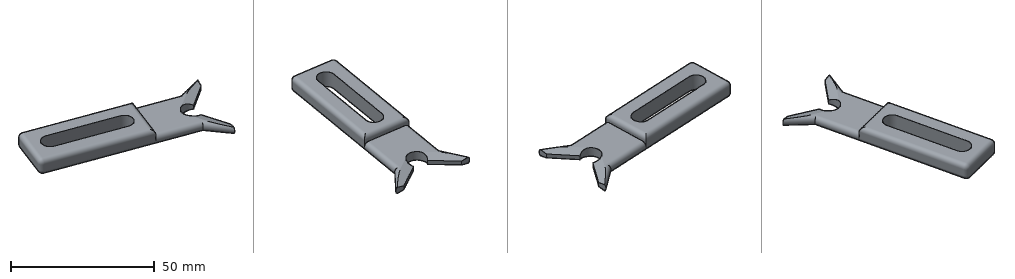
import cadquery as cq
import math

length = 71.75
bar_width = 19.2
plate_thickness = 3.7
block_height = 6.4
block_length = 44.4
edge_radius = 1.8

jaw_width = 31.8
flare_start = 62.4
relief_radius = 3.8
relief_y = 62.3
vee_angle = math.radians(37.3)
bevel_width = 3.5
bevel_depth = 1.0

slot_width = 6.75
slot_start = 4.95
slot_end = 40.1

half_bar = bar_width / 2
half_jaw = jaw_width / 2


def make_plate():
    """Thin plate whose sides flare outward, with rounded outer edges."""
    plate = (
        cq.Workplane("XY")
        .polyline([
            (-half_bar, 0),
            (half_bar, 0),
            (half_bar, flare_start),
            (half_jaw, length),
            (-half_jaw, length),
            (-half_bar, flare_start),
        ])
        .close()
        .extrude(plate_thickness)
    )
    plate = plate.edges("|Z and <Y").fillet(edge_radius)
    rim = plate.faces("<Z or >Z").edges("not >Y")
    return rim.fillet(edge_radius)


def make_block():
    """Thick clamping block, rounded everywhere except around the lower step face."""
    block = cq.Workplane("XY").box(bar_width, block_length, block_height, centered=(True, False, False))
    block = block.edges("|Z and <Y").fillet(edge_radius)
    top_rim = block.faces(">Z").edges()
    block = top_rim.fillet(edge_radius)
    bottom_rim = block.faces("<Z").edges("not >Y")
    return bottom_rim.fillet(edge_radius)


def make_slot():
    """Round-ended through slot along the block."""
    return (
        cq.Workplane("XY")
        .center(0, (slot_start + slot_end) / 2)
        .slot2D(slot_end - slot_start, slot_width, 90)
        .extrude(block_height)
    )


def make_vee():
    """V opening with its apex at the centre of the round relief."""
    vee_half_width = jaw_width
    vee_top = relief_y + vee_half_width * math.tan(vee_angle)
    vee = (
        cq.Workplane("XY")
        .polyline([(0, relief_y), (vee_half_width, vee_top), (-vee_half_width, vee_top)])
        .close()
        .extrude(plate_thickness)
    )
    relief = cq.Workplane("XY").center(0, relief_y).circle(relief_radius).extrude(plate_thickness)
    return vee.union(relief)


def make_bevels():
    """Wedges that thin the +X jaw face from above and below."""
    section = cq.Plane(
        origin=(0, relief_y, 0),
        xDir=(math.sin(vee_angle), -math.cos(vee_angle), 0),
        normal=(-math.cos(vee_angle), -math.sin(vee_angle), 0),
    )
    wedges = cq.Workplane("XY")
    for surface, depth in ((0, bevel_depth), (plate_thickness, -bevel_depth)):
        wedge = (
            cq.Workplane(section)
            .polyline([(0, surface), (bevel_width, surface), (0, surface + depth)])
            .close()
            .extrude(-jaw_width)
        )
        wedges = wedges.add(wedge)
    return wedges.combine()


bevels = make_bevels()
jaw = make_plate().cut(make_vee()).cut(bevels).cut(bevels.mirror("YZ"))
result = jaw.union(make_block()).cut(make_slot())